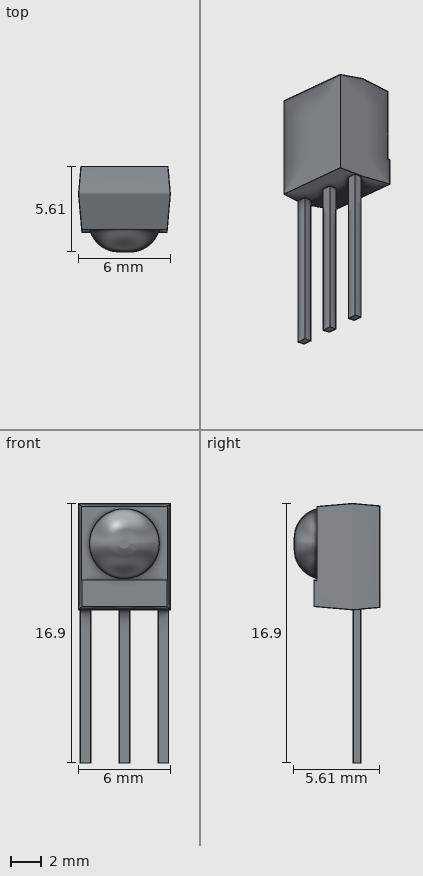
import cadquery as cq
import math

overall_height = 16.95

housing_width = 6.0
housing_height = 6.95
draft_angle = 5.0
back_depth = 1.8
front_depth = 2.51
face_recess = 0.2
ledge_height = 1.95
housing_bottom = overall_height - housing_height
face_y = face_recess - front_depth

lens_diameter = 4.56
lens_tip_diameter = 0.66
lens_height = 1.5
lens_drop = 2.63
lens_z = overall_height - lens_drop

pin_count = 3
pin_pitch = 2.55
pin_width = 0.7
pin_thickness = 0.51
pin_front_y = 0.05


def make_housing_half(depth, direction):
    """Drafted block from the parting plane; direction is -1 for front, 1 for back."""
    plane = cq.Plane(
        origin=(0, 0, housing_bottom + housing_height / 2),
        xDir=(1, 0, 0),
        normal=(0, direction, 0),
    )
    return cq.Workplane(plane).rect(housing_width, housing_height).extrude(depth, taper=draft_angle)


def make_housing():
    """Both drafted halves, with the front set back above the lower block."""
    front_half = make_housing_half(front_depth, -1)
    back_half = make_housing_half(back_depth, 1)
    setback = cq.Workplane("XY").box(
        housing_width, face_recess, housing_height - ledge_height, centered=(True, False, False)
    ).translate((0, -front_depth, housing_bottom + ledge_height))
    return front_half.union(back_half).cut(setback)


def make_lens():
    """Revolved dome whose arc runs tangent into the flat tip."""
    base_radius = lens_diameter / 2
    tip_radius = lens_tip_diameter / 2
    dome = (
        cq.Workplane("XY")
        .lineTo(0, -lens_height)
        .lineTo(tip_radius, -lens_height)
        .tangentArcPoint((base_radius, 0), relative=False)
        .close()
        .revolve(360, (0, 0, 0), (0, 1, 0))
    )
    return dome.translate((0, face_y, lens_z))


def make_pin(center_x):
    """Flat pin whose top follows the drafted underside of the housing."""
    pin_back_y = pin_front_y + pin_thickness
    rise_per_depth = math.tan(math.radians(draft_angle))
    return (
        cq.Workplane("YZ", origin=(center_x, 0, 0))
        .moveTo(pin_front_y, 0)
        .lineTo(pin_back_y, 0)
        .lineTo(pin_back_y, housing_bottom + pin_back_y * rise_per_depth)
        .lineTo(pin_front_y, housing_bottom + pin_front_y * rise_per_depth)
        .close()
        .extrude(pin_width / 2, both=True)
    )


lens = make_lens()
housing = make_housing()
pins = []
for index in range(pin_count):
    pin_x = (index - (pin_count - 1) / 2) * pin_pitch
    pins.append(make_pin(pin_x))

result = cq.Compound.makeCompound([housing.val(), lens.val(), *[pin.val() for pin in pins]])